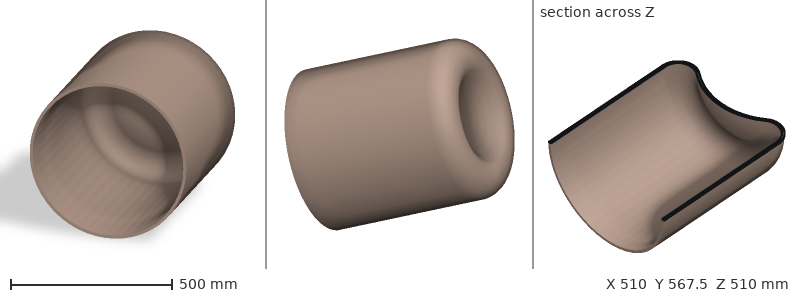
import cadquery as cq
import math

outer_radius = 255.0
wall = 10.0
barrel_length = 500.0
rim_radius = 67.5
dome_radius = 255.0

rim_center_r = outer_radius - rim_radius
rim_center_y = barrel_length
rim_inner_radius = rim_radius - wall

center_distance = dome_radius + rim_inner_radius
dome_angle = math.asin(rim_center_r / center_distance)
dome_center_y = rim_center_y + center_distance * math.cos(dome_angle)


def rim_point(radius, angle):
    """Point on the rim section; angle is measured from the +Y direction towards the outside."""
    return (
        rim_center_r + radius * math.sin(angle),
        rim_center_y + radius * math.cos(angle),
    )


def dome_point(radius, angle):
    """Point on the dome section; angle is measured from the axis at the dome centre."""
    return (
        radius * math.sin(angle),
        dome_center_y - radius * math.cos(angle),
    )


def wall_profile():
    """Half section of the shell in the XY plane: barrel, rounded rim and inverted dome."""
    inner_radius = outer_radius - wall
    back_radius = dome_radius - wall
    rim_mid_angle = (math.pi / 2 - dome_angle) / 2
    return (
        cq.Workplane("XY")
        .moveTo(inner_radius, 0)
        .lineTo(outer_radius, 0)
        .lineTo(outer_radius, barrel_length)
        .threePointArc(rim_point(rim_radius, rim_mid_angle), rim_point(rim_radius, -dome_angle))
        .threePointArc(dome_point(back_radius, dome_angle / 2), dome_point(back_radius, 0))
        .lineTo(*dome_point(dome_radius, 0))
        .threePointArc(dome_point(dome_radius, dome_angle / 2), dome_point(dome_radius, dome_angle))
        .threePointArc(rim_point(rim_inner_radius, rim_mid_angle), (inner_radius, barrel_length))
        .close()
    )


result = wall_profile().revolve(360, (0, 0, 0), (0, 1, 0))